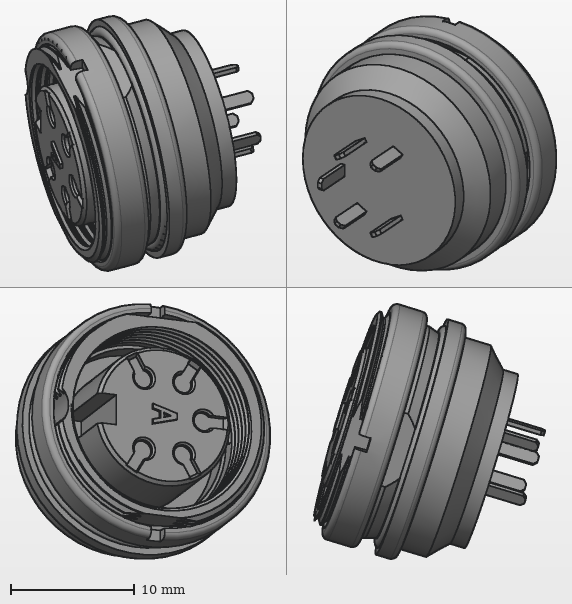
import cadquery as cq
import math


BORE_FLOOR_Y = 7.2
FLANGE_FRONT_Y = 5.6
FLANGE_BACK_Y = 7.25
SHOULDER_Y = 9.55
NECK_Y = 11.1
BODY_END_Y = 12.35
PIN_TIP_Y = 15.8
BARREL_TAPER_Y = 4.33
NUT_FRONT_Y = 0.95
NUT_LENGTH = 3.0
NUT_BACK_Y = NUT_FRONT_Y + NUT_LENGTH
INSERT_FACE_Y = -0.35

BARREL_RADIUS = 9.0
BARREL_BACK_RADIUS = 8.7
FLANGE_RADIUS = 10.0
SHOULDER_RADIUS = 9.0
NECK_RADIUS = 7.4
EDGE_ROUND = 0.5
FLAT_OFFSET = 8.43
SIDE_GROOVE_RADIUS = 2.0
SIDE_GROOVE_CENTRE = 10.22

SEAL_SECTION_RADIUS = 0.5
SEAL_OUTER_RADIUS = 9.45
SEAL_CENTRE_RADIUS = SEAL_OUTER_RADIUS - SEAL_SECTION_RADIUS
SEAL_CENTRE_Y = 5.72

PITCH = 0.75
ROOT_FLAT = 0.15
CREST_FLAT = 0.1
THREAD_RUNOUT = 0.04
OUTER_THREAD_ROOT = 8.58
OUTER_THREAD_START_Y = -0.88
OUTER_THREAD_TURNS = 5
INNER_THREAD_ROOT = 7.95
INNER_THREAD_CREST = 7.65
INNER_THREAD_START_Y = -0.95
INNER_THREAD_TURNS = 7
INNER_THREAD_END_Y = 5.2
BORE_RADIUS = 7.35

NUT_RADIUS = 10.0
NUT_BORE_RADIUS = 8.5
NUT_MOUTH_RADIUS = 9.15
NUT_RELIEF_RADIUS = 9.04
NUT_SLOT_WIDTH = 1.2
NUT_SLOT_DEPTH = 1.0

INSERT_RADIUS = 5.87
INSERT_CHAMFER = 0.3
KEYWAY_WIDTH = 2.55
KEYWAY_FLOOR_X = -4.2
CONTACT_ANGLES = (-120, -60, 0, 60, 120)
CONTACT_CIRCLE_RADIUS = 3.5
CONTACT_HOLE_RADIUS = 0.8
CONTACT_HOLE_CHAMFER = 0.18
CONTACT_DEPTH = 0.5
CONTACT_SLOT_WIDTH = 1.05
CONTACT_SLOT_FACE_RADIUS = 5.66
CONTACT_SLOT_FLOOR_RADIUS = 5.37

PIN_WIDTH = 1.05
PIN_THICKNESS = 0.37
PIN_TIP_CHAMFER = 0.3
PIN_ROOT_OVERLAP = 1.0

LETTER_HEIGHT = 0.25
LETTER_OUTLINE = [
    (1.05, 0.25), (1.05, -0.25), (-1.05, -0.84), (-1.05, -0.47),
    (-0.4, -0.28), (-0.4, 0.28), (-1.05, 0.47), (-1.05, 0.84),
]
LETTER_EYE = [(-0.1, 0.19), (-0.1, -0.19), (0.5, 0.0)]


def revolve_about_y(profile):
    """Turn an (radius, Y) profile sketch into a solid of revolution about the Y axis."""
    return profile.revolve(360, (0, 0, 0), (0, 1, 0))


def turned(points):
    return revolve_about_y(cq.Workplane("XY").polyline(points).close())


def cylinder(radius, start_y, end_y, x=0, z=0):
    """Cylinder parallel to the Y axis."""
    axis = cq.Vector(0, 1, 0)
    return cq.Workplane(cq.Solid.makeCylinder(radius, end_y - start_y, cq.Vector(x, start_y, z), axis))


def prism(points_xz, start_y, end_y):
    """Extrude an XZ outline along +Y."""
    plane = cq.Workplane("XZ", origin=(0, start_y, 0))
    return plane.polyline(points_xz).close().extrude(start_y - end_y)


def block(x_range, y_range, z_range):
    sizes = [high - low for low, high in (x_range, y_range, z_range)]
    corner = cq.Vector(x_range[0], y_range[0], z_range[0])
    return cq.Workplane(cq.Solid.makeBox(*sizes, corner))


def turn_to(shape, angle):
    """Swing a feature from +X towards +Z about the Y axis."""
    return shape.rotate((0, 0, 0), (0, 1, 0), -angle)


def make_thread_groove(crest_radius, root_radius, start_y, turns):
    """Helical V groove along +Y; its mouth reaches slightly past the crest into open space."""
    half_root = ROOT_FLAT / 2
    flank_slope = ((PITCH - CREST_FLAT) / 2 - half_root) / abs(crest_radius - root_radius)
    mouth_radius = crest_radius + math.copysign(THREAD_RUNOUT, crest_radius - root_radius)
    half_mouth = half_root + flank_slope * abs(mouth_radius - root_radius)
    profile = cq.Workplane("XZ").polyline([
        (mouth_radius, -half_mouth),
        (root_radius, -half_root),
        (root_radius, half_root),
        (mouth_radius, half_mouth),
    ]).close()
    helix = cq.Wire.makeHelix(PITCH, PITCH * turns, root_radius)
    groove = profile.sweep(cq.Workplane(helix), isFrenet=True)
    return groove.rotate((0, 0, 0), (1, 0, 0), -90).translate((0, start_y, 0))


def make_barrel():
    """Tube threaded inside and outside, closed at the back, with two flats and a side groove."""
    barrel = turned([
        (0, 0),
        (BARREL_RADIUS, 0),
        (BARREL_RADIUS, BARREL_TAPER_Y),
        (BARREL_BACK_RADIUS, SEAL_CENTRE_Y - SEAL_SECTION_RADIUS),
        (BARREL_BACK_RADIUS, FLANGE_BACK_Y),
        (0, FLANGE_BACK_Y),
    ])
    barrel = barrel.cut(cylinder(INNER_THREAD_CREST, 0, INNER_THREAD_END_Y))
    barrel = barrel.cut(make_thread_groove(
        INNER_THREAD_CREST, INNER_THREAD_ROOT, INNER_THREAD_START_Y, INNER_THREAD_TURNS
    ))
    barrel = barrel.cut(cylinder(BORE_RADIUS, INNER_THREAD_END_Y, BORE_FLOOR_Y))
    barrel = barrel.cut(make_thread_groove(
        BARREL_RADIUS, OUTER_THREAD_ROOT, OUTER_THREAD_START_Y, OUTER_THREAD_TURNS
    ))
    between_flats = block(
        (-FLANGE_RADIUS, FLANGE_RADIUS), (0, FLANGE_BACK_Y), (-FLAT_OFFSET, FLAT_OFFSET)
    )
    side_groove = cylinder(SIDE_GROOVE_RADIUS, 0, FLANGE_FRONT_Y, x=-SIDE_GROOVE_CENTRE)
    return barrel.intersect(between_flats).cut(side_groove)


def make_flange_and_body():
    flange = cylinder(FLANGE_RADIUS, FLANGE_FRONT_Y, FLANGE_BACK_Y)
    flange = flange.faces(">Y").edges().fillet(EDGE_ROUND)
    body = turned([
        (0, FLANGE_FRONT_Y),
        (SHOULDER_RADIUS, FLANGE_FRONT_Y),
        (SHOULDER_RADIUS, SHOULDER_Y),
        (NECK_RADIUS, NECK_Y),
        (NECK_RADIUS, BODY_END_Y),
        (0, BODY_END_Y),
    ])
    bore = cylinder(BORE_RADIUS, FLANGE_FRONT_Y, BORE_FLOOR_Y)
    return flange.union(body).cut(bore)


def make_seal():
    section = cq.Workplane("XY").center(SEAL_CENTRE_RADIUS, SEAL_CENTRE_Y).circle(SEAL_SECTION_RADIUS)
    return section.revolve(360, (-SEAL_CENTRE_RADIUS, 0, 0), (-SEAL_CENTRE_RADIUS, 1, 0))


def make_nut():
    relief_end_y = NUT_FRONT_Y + NUT_SLOT_DEPTH
    front_taper = NUT_RELIEF_RADIUS - NUT_BORE_RADIUS
    back_chamfer = NUT_MOUTH_RADIUS - NUT_BORE_RADIUS
    nut = cylinder(NUT_RADIUS, NUT_FRONT_Y, NUT_BACK_Y)
    nut = nut.edges("%CIRCLE").fillet(EDGE_ROUND)
    opening = turned([
        (0, NUT_FRONT_Y),
        (NUT_MOUTH_RADIUS, NUT_FRONT_Y),
        (NUT_RELIEF_RADIUS, relief_end_y),
        (NUT_BORE_RADIUS, relief_end_y + front_taper),
        (NUT_BORE_RADIUS, NUT_BACK_Y - back_chamfer),
        (NUT_MOUTH_RADIUS, NUT_BACK_Y),
        (0, NUT_BACK_Y),
    ])
    half_slot = NUT_SLOT_WIDTH / 2
    slots = block(
        (-half_slot, half_slot),
        (NUT_FRONT_Y, relief_end_y),
        (-NUT_RADIUS, NUT_RADIUS),
    )
    return nut.cut(opening).cut(slots)


def make_contact_recess():
    """Keyhole recess on +X: a chamfered round hole and a radial slot with a sloping end."""
    floor_y = INSERT_FACE_Y + CONTACT_DEPTH
    mouth_radius = CONTACT_HOLE_RADIUS + CONTACT_HOLE_CHAMFER
    hole = turned([
        (0, INSERT_FACE_Y),
        (mouth_radius, INSERT_FACE_Y),
        (CONTACT_HOLE_RADIUS, INSERT_FACE_Y + CONTACT_HOLE_CHAMFER),
        (CONTACT_HOLE_RADIUS, floor_y),
        (0, floor_y),
    ]).translate((CONTACT_CIRCLE_RADIUS, 0, 0))
    slot = cq.Workplane("XY").polyline([
        (CONTACT_CIRCLE_RADIUS, INSERT_FACE_Y),
        (CONTACT_SLOT_FACE_RADIUS, INSERT_FACE_Y),
        (CONTACT_SLOT_FLOOR_RADIUS, floor_y),
        (CONTACT_CIRCLE_RADIUS, floor_y),
    ]).close().extrude(CONTACT_SLOT_WIDTH / 2, both=True)
    return hole.union(slot)


def make_insert():
    insert = cylinder(INSERT_RADIUS, INSERT_FACE_Y, BORE_FLOOR_Y)
    insert = insert.faces("<Y").edges().chamfer(INSERT_CHAMFER)
    keyway = block(
        (-INSERT_RADIUS, KEYWAY_FLOOR_X),
        (INSERT_FACE_Y, BORE_FLOOR_Y),
        (-KEYWAY_WIDTH / 2, KEYWAY_WIDTH / 2),
    )
    insert = insert.cut(keyway)
    recess = make_contact_recess()
    for angle in CONTACT_ANGLES:
        insert = insert.cut(turn_to(recess, angle))
    return insert


def make_letter():
    top_y = INSERT_FACE_Y - LETTER_HEIGHT
    letter = prism(LETTER_OUTLINE, top_y, INSERT_FACE_Y)
    return letter.cut(prism(LETTER_EYE, top_y, INSERT_FACE_Y))


def make_pin():
    """Flat solder pin on +X, its broad side facing outwards."""
    pin = block(
        (CONTACT_CIRCLE_RADIUS - PIN_THICKNESS / 2, CONTACT_CIRCLE_RADIUS + PIN_THICKNESS / 2),
        (BODY_END_Y - PIN_ROOT_OVERLAP, PIN_TIP_Y),
        (-PIN_WIDTH / 2, PIN_WIDTH / 2),
    )
    return pin.faces(">Y").edges("|X").chamfer(PIN_TIP_CHAMFER)


result = make_flange_and_body().union(make_seal()).union(make_insert()).union(make_letter())
solder_pin = make_pin()
for pin_angle in CONTACT_ANGLES:
    result = result.union(turn_to(solder_pin, pin_angle))
result = result.union(make_nut().union(make_barrel()))